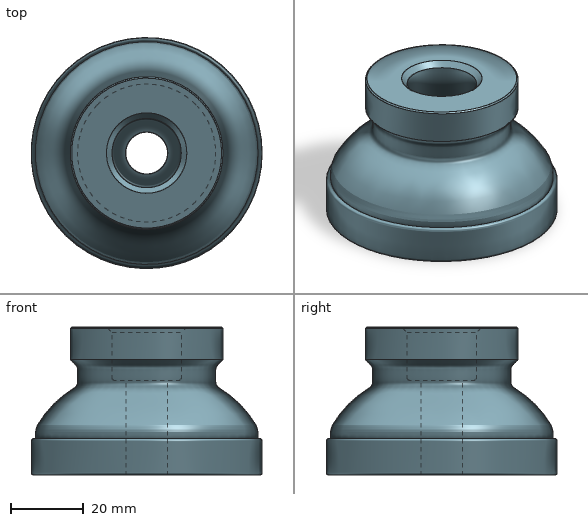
import cadquery as cq
import math

total_height = 40.65
hole_radius = 11.5 / 2

base_radius = 31.75
base_height = 10.1
base_top_fillet = 0.9
base_bottom_fillet = 0.65

head_radius = 42.0 / 2
head_bottom_z = 31.75
head_chamfer = 0.4
neck_radius = 38.0 / 2
neck_fillet = 2.0
head_slope = math.radians(45)
dome_start_slope = math.radians(33)
neck_bottom_z = 25.6

dome_curve_radius = 29.85
dome_end_radius = 30.05
dome_end_z = 13.7
rim_radius = 30.6
rim_top_z = 11.7
rim_cone_top_radius = 30.25
rim_cone_top_z = 13.2
rim_cone_bottom_radius = 30.5
rim_cone_bottom_z = 12.4

bore_radius = 9.5
bore_floor_z = 26.05
bore_floor_fillet = 0.605
bore_mouth_radius = 11.05
bore_chamfer_depth = 1.5


def make_base():
    """Plain disc with rounded rims and a central through hole."""
    disc = cq.Workplane("XY").circle(base_radius).extrude(base_height)
    disc = disc.faces(">Z").edges().fillet(base_top_fillet)
    disc = disc.faces("<Z").edges().fillet(base_bottom_fillet)
    hole = cq.Workplane("XY").circle(hole_radius).extrude(base_height)
    return disc.cut(hole)


def neck_fillet_point(turn, tangent_z, direction):
    """Point on a neck fillet after turning from vertical; direction is +1 upward, -1 downward."""
    radius = neck_radius + neck_fillet * (1 - math.cos(turn))
    return (radius, tangent_z + direction * neck_fillet * math.sin(turn))


def make_bell_blank():
    """Solid of revolution: rim, dome, neck and head."""
    dome_turn = math.pi / 2 - dome_start_slope
    head_turn = math.pi / 2 - head_slope
    dome_start = neck_fillet_point(dome_turn, neck_bottom_z, -1)
    dome_fillet_middle = neck_fillet_point(dome_turn / 2, neck_bottom_z, -1)

    cone_inner_radius, cone_rise = neck_fillet_point(head_turn, 0, 1)
    cone_inner_z = head_bottom_z - (head_radius - cone_inner_radius) * math.tan(head_slope)
    neck_top_z = cone_inner_z - cone_rise
    head_fillet_middle = neck_fillet_point(head_turn / 2, neck_top_z, 1)

    chord_r = dome_end_radius - dome_start[0]
    chord_z = dome_start[1] - dome_end_z
    chord = math.hypot(chord_r, chord_z)
    sagitta = dome_curve_radius - math.sqrt(dome_curve_radius**2 - (chord / 2) ** 2)
    dome_middle = (
        (dome_start[0] + dome_end_radius) / 2 + sagitta * chord_z / chord,
        (dome_start[1] + dome_end_z) / 2 + sagitta * chord_r / chord,
    )

    profile = (
        cq.Workplane("XZ")
        .moveTo(0, base_height)
        .lineTo(rim_radius, base_height)
        .lineTo(rim_radius, rim_top_z)
        .lineTo(rim_cone_bottom_radius, rim_cone_bottom_z)
        .lineTo(rim_cone_top_radius, rim_cone_top_z)
        .lineTo(dome_end_radius, dome_end_z)
        .threePointArc(dome_middle, dome_start)
        .threePointArc(dome_fillet_middle, (neck_radius, neck_bottom_z))
        .lineTo(neck_radius, neck_top_z)
        .threePointArc(head_fillet_middle, (cone_inner_radius, cone_inner_z))
        .lineTo(head_radius, head_bottom_z)
        .lineTo(head_radius, total_height - head_chamfer)
        .lineTo(head_radius - head_chamfer, total_height)
        .lineTo(0, total_height)
        .close()
    )
    return profile.revolve(360, (0, 0, 0), (0, 1, 0))


def make_bore_cutter():
    """Stepped cutter: through hole, round-bottomed bore and conical mouth."""
    hole = cq.Workplane("XY").circle(hole_radius).extrude(total_height)
    bore = (
        cq.Workplane("XY", origin=(0, 0, bore_floor_z))
        .circle(bore_radius)
        .extrude(total_height - bore_floor_z)
        .faces("<Z")
        .edges()
        .fillet(bore_floor_fillet)
    )
    mouth = cq.Workplane(
        cq.Solid.makeCone(
            bore_radius,
            bore_mouth_radius,
            bore_chamfer_depth,
            pnt=cq.Vector(0, 0, total_height - bore_chamfer_depth),
        )
    )
    return hole.union(bore).union(mouth)


base = make_base()
bell = make_bell_blank().cut(make_bore_cutter())

result = cq.Compound.makeCompound([base.val(), bell.val()])